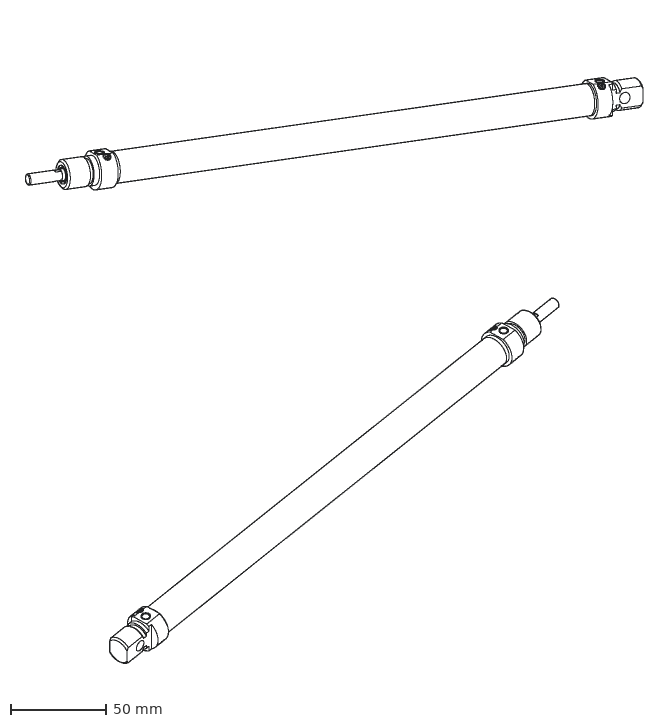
import cadquery as cq
import math

total_length = 359.0

barrel_diameter = 17.2
barrel_start = 50.3
barrel_end = 329.2

cap_rim = 1.85
cap_diameter = barrel_diameter + 2 * cap_rim
cap_radius = cap_diameter / 2
cap_flat_width = 9.0
cap_flat_height = math.sqrt(cap_radius**2 - (cap_flat_width / 2) ** 2)
front_collar_start = 38.5
front_collar_end = 48.0
rear_collar_start = 330.3
rear_collar_end = 341.0

nose_step = 0.6
nose_diameter = barrel_diameter - 2 * nose_step
nose_chamfer = 1.0
nose_front = 20.0
groove_diameter = 13.5
groove_width = 2.0
front_groove_start = 33.0
front_groove_end = front_groove_start + groove_width
rear_groove_start = 343.2
rear_groove_end = rear_groove_start + groove_width

eye_flat_depth = 2.0
eye_width = nose_diameter - 2 * eye_flat_depth
eye_flat_start = 339.0
pivot_diameter = 6.0
pivot_y = 348.2

rod_diameter = 6.5
rod_thread_diameter = 6.0
rod_thread_length = 19.0
rod_chamfer = 0.55
wrench_width = 5.0
wrench_flat_start = 15.8
wrench_flat_length = 3.2
recess_diameter = 10.0
seal_diameter = 8.0
recess_step = 0.5

port_diameter = 4.0
port_rim_diameter = 5.0
port_rim_depth = 0.5
port_core_diameter = 11.5
port_angle = 90.0
front_port_y = 42.5
rear_port_y = 336.5

screw_diameter = 3.4
screw_length = 3.0
screw_hole_diameter = 4.3
screw_hole_depth = 0.7
screw_head_radius = cap_radius - screw_hole_depth
screw_angle = 55.0
socket_diameter = 1.8
socket_depth = 0.7
dimple_diameter = 1.8
dimple_depth = 0.7
dimple_angle = 214.0
front_screw_y = 43.8
rear_screw_y = 334.5


def axial_cylinder(diameter, start, end):
    """Cylinder on the Y axis from start to end."""
    return cq.Workplane("XZ", origin=(0, start, 0)).circle(diameter / 2).extrude(start - end)


def radial_cylinder(diameter, y, angle, inner, outer):
    """Cylinder pointing away from the Y axis, between two distances from it; the angle runs from +X to +Z."""
    tilt = math.radians(angle)
    direction = cq.Vector(math.cos(tilt), 0, math.sin(tilt))
    start = direction * inner + cq.Vector(0, y, 0)
    return cq.Workplane(obj=cq.Solid.makeCylinder(diameter / 2, outer - inner, start, direction))


def block(size_x, size_z, start, end, x=0, z=0):
    """Box from start to end along Y, centred at x and z."""
    box = cq.Workplane().box(size_x, end - start, size_z)
    return box.translate((x, (start + end) / 2, z))


def make_collar(start, end):
    above_flat = block(cap_diameter, cap_diameter, start, end, z=cap_flat_height + cap_radius)
    return axial_cylinder(cap_diameter, start, end).cut(above_flat)


def make_port(y):
    """Cutter for one air port with its shallow rim."""
    core = axial_cylinder(port_core_diameter, y - port_diameter, y + port_diameter)
    bore = radial_cylinder(port_diameter, y, port_angle, 0, cap_diameter).cut(core)
    rim_floor = cap_flat_height - port_rim_depth
    return bore.union(radial_cylinder(port_rim_diameter, y, port_angle, rim_floor, cap_diameter))


def screw_blank(y):
    """Cushion screw without its socket; it also cuts the seat of the screw."""
    return radial_cylinder(
        screw_diameter, y, screw_angle, screw_head_radius - screw_length, screw_head_radius
    )


def make_screw(y):
    socket_floor = screw_head_radius - socket_depth
    socket = radial_cylinder(socket_diameter, y, screw_angle, socket_floor, screw_head_radius)
    return screw_blank(y).cut(socket)


def cut_cap_holes(cap, port_y, screw_y):
    hole = radial_cylinder(screw_hole_diameter, screw_y, screw_angle, screw_head_radius, cap_diameter)
    dimple_floor = cap_radius - dimple_depth
    dimple = radial_cylinder(dimple_diameter, screw_y, dimple_angle, dimple_floor, cap_diameter)
    return cap.cut(make_port(port_y)).cut(hole).cut(screw_blank(screw_y)).cut(dimple)


def make_front_cap():
    cap = axial_cylinder(nose_diameter, nose_front, front_groove_start).faces("<Y").chamfer(nose_chamfer)
    cap = cap.union(axial_cylinder(groove_diameter, front_groove_start, front_groove_end))
    cap = cap.union(axial_cylinder(nose_diameter, front_groove_end, front_collar_start))
    cap = cap.union(make_collar(front_collar_start, front_collar_end))
    cap = cap.union(axial_cylinder(barrel_diameter, front_collar_end, barrel_start))

    cap = cap.cut(axial_cylinder(recess_diameter, nose_front, nose_front + recess_step))
    cap = cap.cut(axial_cylinder(seal_diameter, nose_front, nose_front + 2 * recess_step))
    cap = cap.cut(axial_cylinder(rod_diameter, nose_front, barrel_start))
    return cut_cap_holes(cap, front_port_y, front_screw_y)


def make_rear_cap():
    cap = axial_cylinder(nose_diameter, rear_groove_end, total_length)
    cap = cap.faces("<Y or >Y").chamfer(nose_chamfer)
    cap = cap.union(axial_cylinder(groove_diameter, rear_groove_start, rear_groove_end))
    cap = cap.union(axial_cylinder(nose_diameter, rear_collar_end, rear_groove_start))
    cap = cap.union(make_collar(rear_collar_start, rear_collar_end))
    cap = cap.union(axial_cylinder(barrel_diameter, barrel_end, rear_collar_start))

    for side in (-1, 1):
        flat_x = side * (eye_width + cap_diameter) / 2
        cap = cap.cut(block(cap_diameter, 2 * cap_diameter, eye_flat_start, total_length, x=flat_x))
    cap = cap.cut(radial_cylinder(pivot_diameter, pivot_y, 0, -cap_diameter, cap_diameter))
    return cut_cap_holes(cap, rear_port_y, rear_screw_y)


def make_rod():
    rod = axial_cylinder(rod_thread_diameter, 0, rod_thread_length).faces("<Y").chamfer(rod_chamfer)
    rod = rod.union(axial_cylinder(rod_diameter, rod_thread_length, barrel_start))
    wrench_flat_end = wrench_flat_start + wrench_flat_length
    for side in (-1, 1):
        flat_z = side * (wrench_width + rod_diameter) / 2
        rod = rod.cut(block(rod_diameter, rod_diameter, wrench_flat_start, wrench_flat_end, z=flat_z))
    return rod


barrel = axial_cylinder(barrel_diameter, barrel_start, barrel_end)
front_cap = make_front_cap()
rear_cap = make_rear_cap()
rod = make_rod()
screws = [make_screw(y) for y in (front_screw_y, rear_screw_y)]

result = cq.Compound.makeCompound(
    [barrel.val(), front_cap.val(), rear_cap.val(), rod.val(), *[screw.val() for screw in screws]]
)